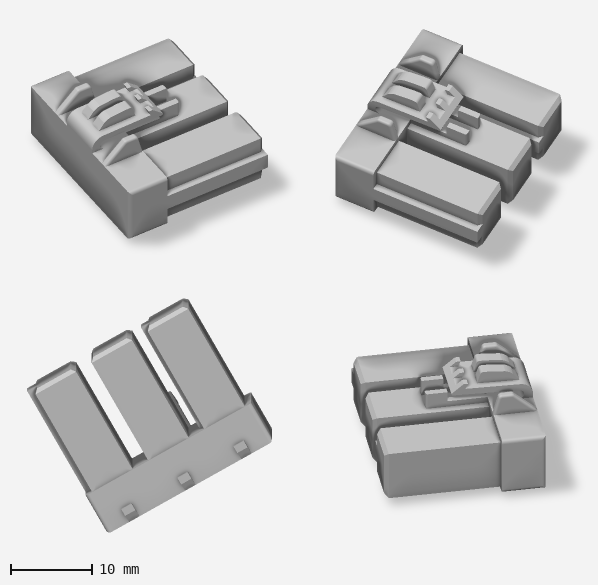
import cadquery as cq
import math

FUSE_OVERLAP = 0.23

HEAD_WIDTH = 23.42
HEAD_DEPTH = 5.5
HEAD_HEIGHT = 7.75
HEAD_ROUND = 0.5

TOTAL_DEPTH = 20.0
FINGER_PITCH = 7.95
FINGER_WIDTH = 5.74
FINGER_BOTTOM = 0.4
FINGER_TOP = 6.95
FINGER_CHAMFER = 0.5

LEFT_KEY_WIDTH = 0.68
RIGHT_KEY_WIDTH = HEAD_WIDTH / 2 - FINGER_PITCH - FINGER_WIDTH / 2
KEY_HEIGHT = 2.1

FOOT_WIDTH = 1.45
FOOT_DROP = 0.65
FOOT_BACK = 1.97
FOOT_TIP = 1.03

RAIL_WIDTH = 0.82
RAIL_OFFSET = 1.5
RAIL_BACK = 13.23
RAIL_STEP = 10.5
RAIL_TOP = 9.09
RAIL_CORNER_ROUND = 0.28

GUARD_WIDTH = 1.0
GUARD_OFFSET = 5.5
GUARD_TOP = 10.5
GUARD_TOP_FRONT = 3.05
GUARD_TOP_BACK = 4.78
GUARD_CORNER_ROUND = 0.47
GUARD_EDGE_ROUND = 0.3

LATCH_WIDTH = 5.97
LATCH_BEND_RADIUS = 1.65
ARM_TOP_FRONT = 9.9
ARM_SLOPE = math.radians(1.3)
ARM_BOTTOM_FRONT = 9.02
ARM_BOTTOM_BACK = 9.27
ARM_WALL = 1.12
HOOK_FACE = 8.45
HOOK_TOP = 10.77
HOOK_TOP_FRONT = 8.15
HOOK_TOP_BACK = 8.71
HOOK_TIP = 10.23
HOOK_TIP_HEIGHT = 9.5
HOOK_TIP_UNDERSIDE = 10.16

GRIP_WIDTH = 1.52
GRIP_OFFSET = 1.25
GRIP_TOP = 11.6
GRIP_BACK = 6.85
GRIP_TOP_BACK = 6.35
GRIP_CORNER_ROUND = 0.42
GRIP_FRONT = 1.55
GRIP_NOSE_START = (2.35, 10.87)
GRIP_NOSE_MIDDLE = (2.76, 11.17)
GRIP_NOSE_END = (3.28, 11.38)
GRIP_SLOPE_END = (5.05, 11.57)
GRIP_FLAT_START = 5.5


def side_extrusion(profile, width, x_center):
    """Extrude a (Y, Z) profile, drawn on the YZ plane, by width about x_center."""
    return profile.extrude(width / 2, both=True).translate((x_center, 0, 0))


def block(x_range, y_range, z_range):
    """Box spanning the given (low, high) ranges."""
    sizes = [high - low for low, high in (x_range, y_range, z_range)]
    return cq.Workplane("XY").box(*sizes, centered=False).translate((x_range[0], y_range[0], z_range[0]))


def make_head():
    half_width = HEAD_WIDTH / 2
    head = block((-half_width, half_width), (0, HEAD_DEPTH), (0, HEAD_HEIGHT))
    return head.edges("(|Y) or (|Z and <Y)").fillet(HEAD_ROUND)


def make_finger(x_center):
    half_width = FINGER_WIDTH / 2
    finger = block(
        (x_center - half_width, x_center + half_width),
        (HEAD_DEPTH - FUSE_OVERLAP, TOTAL_DEPTH),
        (FINGER_BOTTOM, FINGER_TOP),
    )
    return finger.faces(">Y").chamfer(FINGER_CHAMFER)


def make_key(finger_center, key_width):
    """Straight key along the +X side of a finger, at mid height."""
    side = finger_center + FINGER_WIDTH / 2
    middle = (FINGER_BOTTOM + FINGER_TOP) / 2
    return block(
        (side - FINGER_CHAMFER - FUSE_OVERLAP, side + key_width),
        (HEAD_DEPTH - FUSE_OVERLAP, TOTAL_DEPTH),
        (middle - KEY_HEIGHT / 2, middle + KEY_HEIGHT / 2),
    )


def make_foot(x_center):
    profile = (
        cq.Workplane("YZ")
        .polyline([(0, 0), (FOOT_TIP, -FOOT_DROP), (FOOT_BACK, -FOOT_DROP),
                   (FOOT_BACK, FUSE_OVERLAP), (0, FUSE_OVERLAP)])
        .close()
    )
    return side_extrusion(profile, FOOT_WIDTH, x_center)


def make_rail(side):
    """Stepped rail; side is -1 or +1 and its outer back corner is rounded."""
    front = HEAD_DEPTH - FUSE_OVERLAP
    bottom = FINGER_TOP - FUSE_OVERLAP
    profile = (
        cq.Workplane("YZ")
        .polyline([(front, bottom), (RAIL_BACK, bottom), (RAIL_BACK, RAIL_TOP),
                   (RAIL_STEP, RAIL_TOP), (RAIL_STEP, HEAD_HEIGHT), (front, HEAD_HEIGHT)])
        .close()
    )
    rail = side_extrusion(profile, RAIL_WIDTH, side * RAIL_OFFSET)
    outer = ">X" if side > 0 else "<X"
    return rail.faces(">Y").edges(outer).fillet(RAIL_CORNER_ROUND)


def make_guard(x_center):
    profile = (
        cq.Workplane("YZ")
        .polyline([(0, HEAD_HEIGHT), (GUARD_TOP_FRONT, GUARD_TOP),
                   (GUARD_TOP_BACK, GUARD_TOP), (HEAD_DEPTH, HEAD_HEIGHT)])
        .close()
    )
    guard = side_extrusion(profile, GUARD_WIDTH, x_center)
    guard = guard.faces(">Z").edges("|X").fillet(GUARD_CORNER_ROUND)
    base_edges = cq.selectors.BoxSelector(
        (-HEAD_WIDTH, -HEAD_DEPTH, HEAD_HEIGHT - FUSE_OVERLAP),
        (HEAD_WIDTH, 2 * HEAD_DEPTH, HEAD_HEIGHT + FUSE_OVERLAP),
    )
    side_edges = cq.selectors.StringSyntaxSelector("not |X")
    return guard.edges(side_edges - base_edges).fillet(GUARD_EDGE_ROUND)


def bend_point(angle):
    """Point (Y, Z) on the outer bend of the latch arm."""
    y = LATCH_BEND_RADIUS * (1 + math.cos(angle))
    z = ARM_TOP_FRONT + LATCH_BEND_RADIUS * (math.sin(angle) - 1)
    return y, z


def arm_top(y):
    """Height of the sloping top of the latch arm behind the bend."""
    end_y, end_z = bend_point(math.pi / 2 + ARM_SLOPE)
    return end_z + (y - end_y) * math.tan(ARM_SLOPE)


def make_hook_notch(x_center):
    """Cutter that clears the hook down to the top of the arm."""
    front = HOOK_TOP_FRONT - FUSE_OVERLAP
    profile = (
        cq.Workplane("YZ")
        .polyline([(front, arm_top(front)), (HOOK_TIP, arm_top(HOOK_TIP)),
                   (HOOK_TIP, HOOK_TOP), (front, HOOK_TOP)])
        .close()
    )
    return side_extrusion(profile, GRIP_WIDTH, x_center)


def make_latch():
    bend_end = bend_point(math.pi / 2 + ARM_SLOPE)
    bend_middle = bend_point(3 * math.pi / 4)
    cavity_radius = (ARM_BOTTOM_FRONT - HEAD_HEIGHT) / 2
    cavity_front = ARM_WALL + cavity_radius
    profile = (
        cq.Workplane("YZ")
        .moveTo(0, HEAD_HEIGHT - FUSE_OVERLAP)
        .lineTo(*bend_point(math.pi))
        .threePointArc(bend_middle, bend_end)
        .lineTo(HOOK_FACE, arm_top(HOOK_FACE))
        .lineTo(HOOK_TOP_FRONT, HOOK_TOP)
        .lineTo(HOOK_TOP_BACK, HOOK_TOP)
        .lineTo(HOOK_TIP, HOOK_TIP_HEIGHT)
        .lineTo(HOOK_TIP_UNDERSIDE, ARM_BOTTOM_BACK)
        .lineTo(cavity_front, ARM_BOTTOM_FRONT)
        .threePointArc((ARM_WALL, HEAD_HEIGHT + cavity_radius), (cavity_front, HEAD_HEIGHT))
        .lineTo(cavity_front, HEAD_HEIGHT - FUSE_OVERLAP)
        .close()
    )
    latch = side_extrusion(profile, LATCH_WIDTH, 0)
    for side in (-1, 1):
        x_center = side * GRIP_OFFSET
        latch = latch.cut(make_hook_notch(x_center)).union(make_grip(x_center))
    return latch


def make_grip(x_center):
    profile = (
        cq.Workplane("YZ")
        .moveTo(GRIP_FRONT, ARM_TOP_FRONT - FUSE_OVERLAP)
        .lineTo(GRIP_FRONT, ARM_TOP_FRONT)
        .lineTo(*GRIP_NOSE_START)
        .threePointArc(GRIP_NOSE_MIDDLE, GRIP_NOSE_END)
        .lineTo(*GRIP_SLOPE_END)
        .tangentArcPoint((GRIP_FLAT_START, GRIP_TOP), relative=False)
        .lineTo(GRIP_TOP_BACK, GRIP_TOP)
        .lineTo(GRIP_BACK, arm_top(GRIP_BACK))
        .lineTo(GRIP_BACK, ARM_TOP_FRONT - FUSE_OVERLAP)
        .close()
    )
    grip = side_extrusion(profile, GRIP_WIDTH, x_center)
    top_back_edge = cq.selectors.NearestToPointSelector((x_center, GRIP_TOP_BACK, GRIP_TOP))
    return grip.edges(top_back_edge).fillet(GRIP_CORNER_ROUND)


result = make_head()
for position in (-1, 0, 1):
    finger_center = position * FINGER_PITCH
    result = result.union(make_finger(finger_center)).union(make_foot(finger_center))
result = result.union(make_key(-FINGER_PITCH, LEFT_KEY_WIDTH)).union(make_key(FINGER_PITCH, RIGHT_KEY_WIDTH))
for side in (-1, 1):
    result = result.union(make_rail(side)).union(make_guard(side * GUARD_OFFSET))
result = result.union(make_latch())